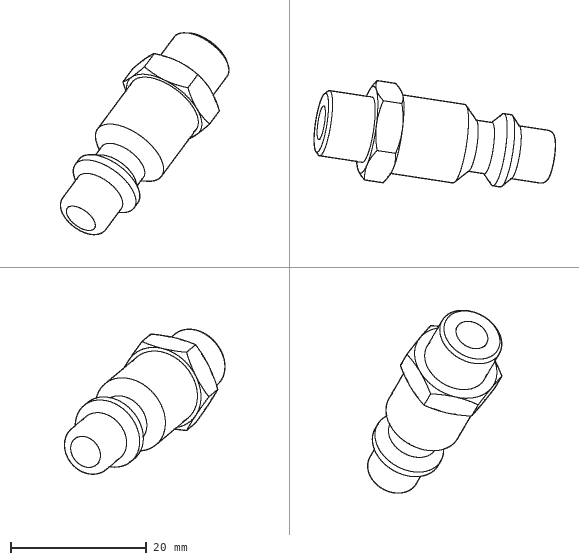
import cadquery as cq
import math


length = 35.0
ring_front_base = 5.45
ring_front_edge = 6.82
ring_back_edge = 7.98
ring_back_base = 9.52
shoulder_start = 12.0
shoulder_end = 14.0
hex_start = 24.0
hex_end = 28.0

tip_diameter = 7.95
ring_diameter = 10.85
neck_diameter = 7.7
body_diameter = 11.8
stub_diameter = 9.8
bore_diameter = 5.0
hex_across_flats = 13.0

tip_round = 1.0
stub_chamfer = 0.5
hex_chamfer_angle = 30.0

tip_radius = tip_diameter / 2
ring_radius = ring_diameter / 2
neck_radius = neck_diameter / 2
body_radius = body_diameter / 2
stub_radius = stub_diameter / 2


def turned_body():
    """Solid of revolution running from the rounded tip to the chamfered stub."""
    arc_offset = tip_round * math.sqrt(0.5)
    arc_middle = (tip_radius - tip_round + arc_offset, tip_round - arc_offset)
    profile = (
        cq.Workplane("XY")
        .lineTo(tip_radius - tip_round, 0)
        .threePointArc(arc_middle, (tip_radius, tip_round))
        .lineTo(tip_radius, ring_front_base)
        .lineTo(ring_radius, ring_front_edge)
        .lineTo(ring_radius, ring_back_edge)
        .lineTo(neck_radius, ring_back_base)
        .lineTo(neck_radius, shoulder_start)
        .lineTo(body_radius, shoulder_end)
        .lineTo(body_radius, hex_start)
        .lineTo(stub_radius, hex_start)
        .lineTo(stub_radius, length - stub_chamfer)
        .lineTo(stub_radius - stub_chamfer, length)
        .lineTo(0, length)
        .close()
    )
    return profile.revolve(360, (0, 0, 0), (0, 1, 0))


def hex_collar():
    """Hexagon with corners on X and conical chamfers on both faces."""
    across_corners = hex_across_flats / math.cos(math.radians(30))
    face_radius = hex_across_flats / 2
    corner_radius = across_corners / 2
    chamfer_depth = (corner_radius - face_radius) * math.tan(math.radians(hex_chamfer_angle))
    hexagon = (
        cq.Workplane("XZ", origin=(0, hex_start, 0))
        .polygon(6, across_corners)
        .extrude(hex_start - hex_end)
    )
    chamfer_envelope = (
        cq.Workplane("XY")
        .moveTo(0, hex_start)
        .lineTo(face_radius, hex_start)
        .lineTo(corner_radius, hex_start + chamfer_depth)
        .lineTo(corner_radius, hex_end - chamfer_depth)
        .lineTo(face_radius, hex_end)
        .lineTo(0, hex_end)
        .close()
        .revolve(360, (0, 0, 0), (0, 1, 0))
    )
    return hexagon.intersect(chamfer_envelope)


bore = cq.Workplane("XZ").circle(bore_diameter / 2).extrude(-length)

result = turned_body().union(hex_collar()).cut(bore)